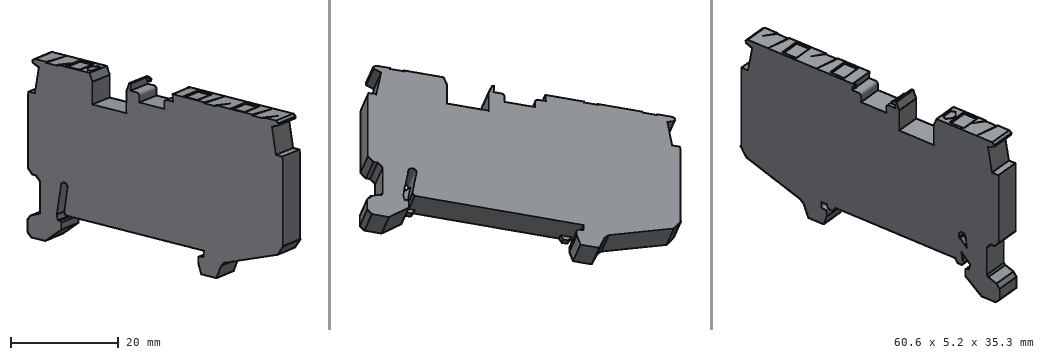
import cadquery as cq

LENGTH = 60.6
THICKNESS = 5.2
HEIGHT = 35.25

BODY_SIDE_INSET = 0.12
BODY_CORNER_CHAMFER = 1.07
BODY_BASE_Z = 6.05
RAIL_SEAT_Z = 4.75
SHOULDER_Z = 28.5
SHOULDER_CHAMFER_X = 0.13
SHOULDER_CHAMFER_Z = 0.65
NECK_FOOT_X = 1.75
NECK_TOP_X = 2.7
NECK_TOP_Z = 33.8
LIP_LOW = (1.25, 34.4)
LIP_TIP = (1.15, 34.85)
LIP_TOP_X = 1.7

SLOT_CENTER_X = 19.43
SLOT_WIDTH = 8.05
SLOT_FLOOR_Z = 29.2
SLOT_FLARE_Z = 33.65
SLOT_MOUTH_WIDTH = 9.4

GROOVE_CENTER_X = 29.45
GROOVE_FLOOR_WIDTH = 5.85
GROOVE_FLOOR_Z = 31.95
GROOVE_STEP_Z = 33.8
GROOVE_STEP_WIDTH = 10.1
GROOVE_MOUTH_WIDTH = 9.8
GROOVE_ROUND_RADIUS = 0.7
SNAP_RIB_TOP_REACH = 0.2
SNAP_RIB_BASE_REACH = 0.65
SNAP_RIB_TIP_REACH = 0.75
SNAP_RIB_TIP_Z = 34.85
SNAP_RIB_BASE_Z = 34.5
SNAP_RIB_THICKNESS = 0.4

LATCH_TOP_Z = 12.4
LATCH_OUTER_X = 2.95
LATCH_SHOULDER = ((LATCH_OUTER_X, 11.35), (2.75, 11.7), (2.0, LATCH_TOP_Z))
LATCH_HEEL = ((0, 3.35), (0.7, 4.25), (2.6, 4.95), (LATCH_OUTER_X, 5.3))
LATCH_TOE_X = 8.05
LATCH_TOE_Z = 3.05
LATCH_SOLE_END_X = 4.2
LATCH_SOLE_CHAMFER = 0.9
TOE_CHAMFER = 0.3

SLIT_FOOT_X = 6.95
SLIT_FOOT_Z = 5.8
SLIT_LEFT_TOP = (7.95, 11.6)
SLIT_CROWN = (8.75, 12.45)
SLIT_RIGHT_TOP = (9.5, 11.5)
SLIT_RIGHT_FOOT = (8.7, 6.5)

HOOK_ROOT_X = 41.75
HOOK_NOSE_X = 40.45
HOOK_SOLE_Z = 1.3
HOOK_SOLE_START_X = 41.15
HOOK_SOLE_END_X = 44.75
HOOK_ROUND = 0.4
HOOK_NOSE_LOW_Z = 3.3
HOOK_BACK_LOW = (45.85, 3.95)
HOOK_BACK_HIGH = (46.6, 4.7)
BELLY_END = (59.2, 8.95)
BELLY_TOP_Z = 10.95

BACK_LAYER = 1.1
PEG_CENTERS_X = (9.3, 39.5)
PEG_WIDTH = 2.1
PEG_TIP_WIDTH = 1.0
PEG_TIP_Z = 5.15
PEG_ROOT_Z = 6.5
WEB_LEFT_X = 6.9
WEB_RIGHT_X = 9.4
WEB_LEFT_TOP_Z = 8.8
WEB_LEFT_LOW_Z = 6.05
WEB_RISE = 2.35

MARK_DEPTH = 0.2
WINDOW_STARTS_X = (8.8, 36.75, 47.95)
WINDOW_LENGTH = 3.3
WINDOW_WIDTH = 4.3
WINDOW_CENTER_Y = 2.45
WINDOW_WALL_TAPER = 45
ARROW_STARTS_X = (4.4, 41.85, 53.2)
ARROW_FOOT_LENGTH = 2.65
ARROW_END_Y = 5.0
ARROW_END_OFFSETS = (0.95, 1.65)
ARROW_TIP_OFFSET = 4.25
ARROW_TIP_Y = 2.45
DIMPLE_DEPTH = 0.1
DIMPLE_CENTER_Y = 2.58
DIMPLE_LEFT_X = 12.5
DIMPLE_PEAK_X = 13.4
DIMPLE_RIGHT_X = 14.3
DIMPLE_LEFT_HALF = 0.4
DIMPLE_PEAK_HALF = 1.47
DIMPLE_RIGHT_HALF = 1.2


def mirrored(points, center_x):
    """Mirror points about a vertical line and reverse them to keep the path direction."""
    return [(2 * center_x - x, z) for x, z in reversed(points)]


def end_outline():
    """Left end of the body, going up from the shoulder to the top lip."""
    return [
        (BODY_SIDE_INSET, SHOULDER_Z - SHOULDER_CHAMFER_Z),
        (BODY_SIDE_INSET + SHOULDER_CHAMFER_X, SHOULDER_Z),
        (NECK_FOOT_X, SHOULDER_Z),
        (NECK_TOP_X, NECK_TOP_Z),
        LIP_LOW,
        LIP_TIP,
        (LIP_TOP_X, HEIGHT),
    ]


def slot_outline():
    """Bridge slot, from left to right."""
    left = [
        (SLOT_CENTER_X - SLOT_MOUTH_WIDTH / 2, HEIGHT),
        (SLOT_CENTER_X - SLOT_WIDTH / 2, SLOT_FLARE_Z),
        (SLOT_CENTER_X - SLOT_WIDTH / 2, SLOT_FLOOR_Z),
    ]
    return left + mirrored(left, SLOT_CENTER_X)


def upper_outline():
    """Points of the top side, from the left shoulder to the right shoulder."""
    left_end = end_outline()
    return left_end + slot_outline() + mirrored(left_end, LENGTH / 2)


def draw_lines(path, points):
    """Extend a path with straight lines through the given points."""
    for point in points:
        path = path.lineTo(*point)
    return path


def draw_rail_hook(path):
    """Right side and belly, then the fixed rail hook up to the underside of the body."""
    path = draw_lines(path, [
        (LENGTH - BODY_SIDE_INSET, BELLY_TOP_Z),
        (LENGTH, BELLY_TOP_Z),
        BELLY_END,
        HOOK_BACK_HIGH,
        HOOK_BACK_LOW,
        (HOOK_SOLE_END_X, HOOK_SOLE_Z),
        (HOOK_SOLE_START_X, HOOK_SOLE_Z),
        (HOOK_NOSE_X, HOOK_NOSE_LOW_Z),
        (HOOK_NOSE_X, RAIL_SEAT_Z - HOOK_ROUND),
    ])
    path = path.radiusArc((HOOK_NOSE_X + HOOK_ROUND, RAIL_SEAT_Z), HOOK_ROUND)
    path = path.lineTo(HOOK_ROOT_X - HOOK_ROUND, RAIL_SEAT_Z)
    path = path.radiusArc((HOOK_ROOT_X, RAIL_SEAT_Z + HOOK_ROUND), -HOOK_ROUND)
    return path.lineTo(HOOK_ROOT_X, BODY_BASE_Z)


def draw_slit(path):
    """Underside of the body and the round-ended slit beside the latch leg."""
    slit_chamfer = SLIT_RIGHT_FOOT[1] - BODY_BASE_Z
    path = draw_lines(path, [
        (SLIT_RIGHT_FOOT[0] + slit_chamfer, BODY_BASE_Z),
        SLIT_RIGHT_FOOT,
        SLIT_RIGHT_TOP,
    ])
    path = path.threePointArc(SLIT_CROWN, SLIT_LEFT_TOP)
    return path.lineTo(SLIT_FOOT_X, SLIT_FOOT_Z)


def draw_latch(path):
    """Latch leg: toe, sole, heel and outer side, up to the left side of the body."""
    return draw_lines(path, [
        (SLIT_FOOT_X + TOE_CHAMFER / 2, RAIL_SEAT_Z + TOE_CHAMFER),
        (SLIT_FOOT_X + TOE_CHAMFER, RAIL_SEAT_Z),
        (LATCH_TOE_X - TOE_CHAMFER, RAIL_SEAT_Z),
        (LATCH_TOE_X, RAIL_SEAT_Z - TOE_CHAMFER),
        (LATCH_TOE_X, LATCH_TOE_Z),
        (LATCH_SOLE_END_X, 0),
        (LATCH_SOLE_CHAMFER, 0),
        (0, LATCH_SOLE_CHAMFER),
        *LATCH_HEEL,
        *LATCH_SHOULDER,
        (BODY_SIDE_INSET + BODY_CORNER_CHAMFER, LATCH_TOP_Z),
        (BODY_SIDE_INSET, LATCH_TOP_Z + BODY_CORNER_CHAMFER),
    ])


def make_body():
    path = cq.Workplane("XZ").polyline(upper_outline())
    path = draw_latch(draw_slit(draw_rail_hook(path)))
    return path.close().extrude(-THICKNESS)


def plate(points, start_y, end_y):
    """Plate with an outline in the XZ plane, between two Y positions."""
    return cq.Workplane("XZ", origin=(0, start_y, 0)).polyline(points).close().extrude(start_y - end_y)


def make_groove():
    """Cutter for the marker groove."""
    half_floor = GROOVE_FLOOR_WIDTH / 2
    step_left = [
        (GROOVE_CENTER_X - GROOVE_MOUTH_WIDTH / 2, HEIGHT),
        (GROOVE_CENTER_X - GROOVE_STEP_WIDTH / 2, GROOVE_STEP_Z),
    ]
    step = plate(step_left + mirrored(step_left, GROOVE_CENTER_X), 0, THICKNESS)
    round_z = GROOVE_STEP_Z - GROOVE_ROUND_RADIUS
    floor = (
        cq.Workplane("XZ")
        .moveTo(GROOVE_CENTER_X - half_floor, GROOVE_FLOOR_Z)
        .lineTo(GROOVE_CENTER_X - half_floor, round_z)
        .radiusArc((GROOVE_CENTER_X - half_floor - GROOVE_ROUND_RADIUS, GROOVE_STEP_Z), -GROOVE_ROUND_RADIUS)
        .lineTo(GROOVE_CENTER_X + half_floor + GROOVE_ROUND_RADIUS, GROOVE_STEP_Z)
        .radiusArc((GROOVE_CENTER_X + half_floor, round_z), -GROOVE_ROUND_RADIUS)
        .lineTo(GROOVE_CENTER_X + half_floor, GROOVE_FLOOR_Z)
        .close()
        .extrude(-THICKNESS)
    )
    return step.union(floor)


def add_snap_ribs(part):
    """Add a rib that overhangs each side of the marker groove, at the back face."""
    wall_x = GROOVE_CENTER_X - GROOVE_STEP_WIDTH / 2
    mouth_x = GROOVE_CENTER_X - GROOVE_MOUTH_WIDTH / 2
    left = [
        (wall_x, HEIGHT),
        (mouth_x + SNAP_RIB_TOP_REACH, HEIGHT),
        (mouth_x + SNAP_RIB_TIP_REACH, SNAP_RIB_TIP_Z),
        (mouth_x + SNAP_RIB_BASE_REACH, SNAP_RIB_BASE_Z),
        (wall_x, SNAP_RIB_BASE_Z),
    ]
    for points in (left, mirrored(left, GROOVE_CENTER_X)):
        part = part.union(plate(points, THICKNESS - SNAP_RIB_THICKNESS, THICKNESS))
    return part


def add_back_layer(part):
    """Add the web across the slit and the rail pegs under the body."""
    start_y = THICKNESS - BACK_LAYER
    web = [
        (WEB_LEFT_X, WEB_LEFT_LOW_Z),
        (WEB_RIGHT_X, WEB_LEFT_LOW_Z + WEB_RISE),
        (WEB_RIGHT_X, WEB_LEFT_TOP_Z + WEB_RISE),
        (WEB_LEFT_X, WEB_LEFT_TOP_Z),
    ]
    part = part.union(plate(web, start_y, THICKNESS))
    for center_x in PEG_CENTERS_X:
        left = [
            (center_x - PEG_TIP_WIDTH / 2, PEG_TIP_Z),
            (center_x - PEG_WIDTH / 2, BODY_BASE_Z),
            (center_x - PEG_TIP_WIDTH / 2, PEG_ROOT_Z),
        ]
        part = part.union(plate(left + mirrored(left, center_x), start_y, THICKNESS))
    return part


def make_window(start_x):
    """Cutter for a rectangular recess with sloping walls."""
    return (
        cq.Workplane("XY", origin=(start_x + WINDOW_LENGTH / 2, WINDOW_CENTER_Y, HEIGHT))
        .rect(WINDOW_LENGTH, WINDOW_WIDTH)
        .extrude(-MARK_DEPTH, taper=WINDOW_WALL_TAPER)
    )


def make_arrow(start_x):
    """Cutter for an arrow mark: deepest at the front face, running out at its far end and tip."""
    foot_x = start_x + ARROW_FOOT_LENGTH
    floor_z = HEIGHT - MARK_DEPTH
    front_left = (start_x, 0, HEIGHT)
    front_right = (foot_x, 0, HEIGHT)
    low_left = (start_x, 0, floor_z)
    low_right = (foot_x, 0, floor_z)
    end_left, end_right = [(start_x + offset, ARROW_END_Y, HEIGHT) for offset in ARROW_END_OFFSETS]
    tip = (start_x + ARROW_TIP_OFFSET, ARROW_TIP_Y, HEIGHT)
    faces = [
        (front_left, front_right, tip, end_right, end_left),
        (low_left, end_left, end_right, low_right),
        (low_right, end_right, tip),
        (front_left, low_left, low_right, front_right),
        (front_left, end_left, low_left),
        (front_right, low_right, tip),
    ]
    shell = cq.Shell.makeShell([
        cq.Face.makeFromWires(cq.Wire.makePolygon([cq.Vector(*p) for p in face], close=True))
        for face in faces
    ])
    return cq.Workplane(cq.Solid.makeSolid(shell).fix())


def make_dimple():
    """Cutter for the shallow six-sided recess beside the bridge slot."""
    lower = [
        (DIMPLE_LEFT_X, DIMPLE_CENTER_Y - DIMPLE_LEFT_HALF),
        (DIMPLE_PEAK_X, DIMPLE_CENTER_Y - DIMPLE_PEAK_HALF),
        (DIMPLE_RIGHT_X, DIMPLE_CENTER_Y - DIMPLE_RIGHT_HALF),
    ]
    upper = [(x, 2 * DIMPLE_CENTER_Y - y) for x, y in reversed(lower)]
    return cq.Workplane("XY", origin=(0, 0, HEIGHT)).polyline(lower + upper).close().extrude(-DIMPLE_DEPTH)


result = make_body().cut(make_groove())
result = add_snap_ribs(result)
result = add_back_layer(result)
for window_x in WINDOW_STARTS_X:
    result = result.cut(make_window(window_x))
for arrow_x in ARROW_STARTS_X:
    result = result.cut(make_arrow(arrow_x))
result = result.cut(make_dimple())